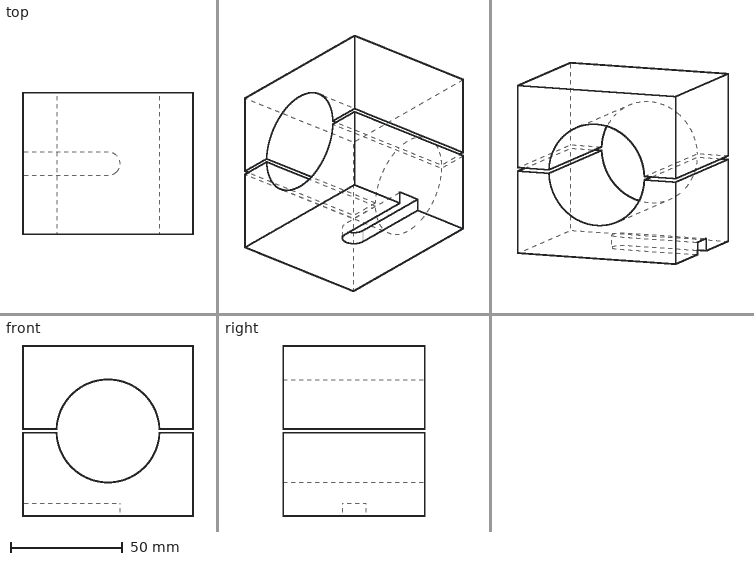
import cadquery as cq

width = 76.2
length = 63.5
height = 76.2

bore_diameter = 46.0
split_gap = 1.6

slot_width = 10.45
slot_height = 5.65
slot_round_center_x = 0.0

half_height = (height - split_gap) / 2


def half_block(side):
    """Block above (side = 1) or below (side = -1) the gap, with half of the bore."""
    center_z = side * (split_gap + half_height) / 2
    bore = cq.Workplane("XZ").circle(bore_diameter / 2).extrude(length / 2, both=True)
    return cq.Workplane("XY").box(width, length, half_height).translate((0, 0, center_z)).cut(bore)


def locating_slot():
    """Round-ended slot volume rising from the bottom face."""
    slot_radius = slot_width / 2
    return (
        cq.Workplane("XY", origin=(0, 0, -height / 2))
        .moveTo(-width / 2, -slot_radius)
        .lineTo(slot_round_center_x, -slot_radius)
        .threePointArc((slot_round_center_x + slot_radius, 0), (slot_round_center_x, slot_radius))
        .lineTo(-width / 2, slot_radius)
        .close()
        .extrude(slot_height)
    )


upper_half = half_block(1)
lower_half = half_block(-1).cut(locating_slot())

result = cq.Compound.makeCompound([upper_half.val(), lower_half.val()])